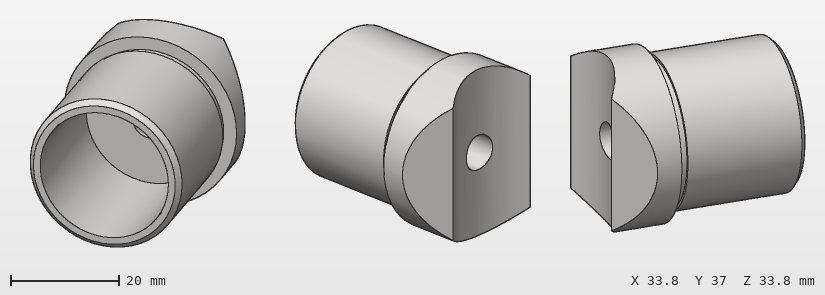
import cadquery as cq

total_length = 37.0
flange_length = 11.4
groove_width = 2.0
body_length = total_length - flange_length - groove_width

flange_diameter = 33.75
body_diameter = 29.75
groove_diameter = 28.7
bore_diameter = 25.1
hole_diameter = 7.0

end_chamfer = 1.0
saddle_radius = 17.02
saddle_half_chord = 10.3
cheek_drop = flange_diameter / 2 - saddle_half_chord

bore_depth = total_length - flange_length


def disc(diameter, start, length):
    """Cylinder on the Y axis, from y = start to y = start + length."""
    plane = cq.Plane(origin=(0, start, 0), xDir=(1, 0, 0), normal=(0, 1, 0))
    return cq.Workplane(plane).circle(diameter / 2).extrude(length)


def turned_blank():
    """Body, relief groove and flange, with a chamfered open end."""
    body = disc(body_diameter, 0, body_length).faces("<Y").edges().chamfer(end_chamfer)
    groove = disc(groove_diameter, body_length, groove_width)
    flange = disc(flange_diameter, body_length + groove_width, flange_length)
    return body.union(groove).union(flange)


def head_profile():
    """Prism along Z that gives the head its slanted cheeks and round saddle."""
    half_width = flange_diameter / 2
    saddle_depth = saddle_radius - (saddle_radius**2 - saddle_half_chord**2) ** 0.5
    return (
        cq.Workplane("XY")
        .moveTo(-half_width, 0)
        .lineTo(half_width, 0)
        .lineTo(half_width, total_length - cheek_drop)
        .lineTo(saddle_half_chord, total_length)
        .threePointArc((0, total_length - saddle_depth), (-saddle_half_chord, total_length))
        .lineTo(-half_width, total_length - cheek_drop)
        .close()
        .extrude(half_width, both=True)
    )


bore = disc(bore_diameter, 0, bore_depth)
through_hole = disc(hole_diameter, 0, total_length)

result = turned_blank().intersect(head_profile()).cut(bore).cut(through_hole)